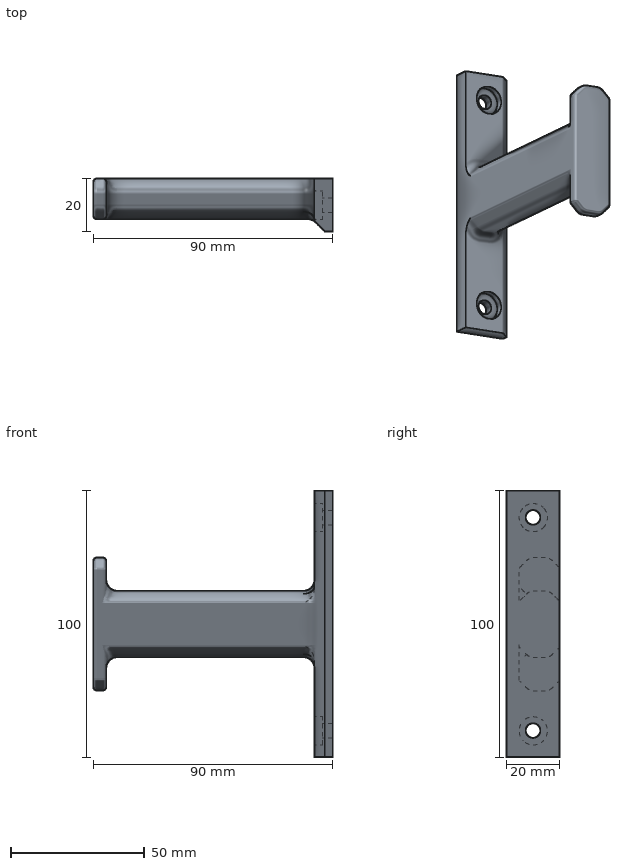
import cadquery as cq

overall_length = 90.0
plate_thickness = 7.0
plate_width = 20.0
plate_height = 100.0
plate_chamfer = 4.0

section_width = 15.38
section_bevel = 4.0
arm_height = 25.0
stop_height = 50.0
stop_thickness = 5.0

edge_radius = 1.5
bevel_radius = 4.0
joint_radius = 4.0

hole_diameter = 5.4
counterbore_diameter = 10.6
counterbore_depth = 3.0
hole_spacing = 80.0

plate_face_x = overall_length - plate_thickness
section_center_y = plate_width - section_width / 2
arm_side_half_height = arm_height / 2 - section_bevel
stop_side_half_height = stop_height / 2 - section_bevel

trim_allowance = 20.0

tolerance = 0.01


def bevelled_bar(height, start_x, end_x):
    """Bar along X with bevelled long edges, rounded where the bevels meet the top and bottom."""
    length = end_x - start_x
    bar = cq.Workplane("XY").box(length, section_width, height)
    bar = bar.edges("|X").chamfer(section_bevel)
    bar = bar.faces(">Z or <Z").edges("|X").fillet(bevel_radius)
    return bar.translate((start_x + length / 2, section_center_y, 0))


def make_wide_plate():
    """Wall plate with one bevelled long edge, softened where the bevel meets the front face."""
    plate = cq.Workplane("XY").box(
        plate_thickness, plate_width + trim_allowance, plate_height, centered=(False, False, True)
    )
    plate = plate.translate((plate_face_x, 0, 0))
    plate = plate.edges("|Z and <X and <Y").chamfer(plate_chamfer)
    return plate.faces("<X").edges("|Z and <Y").fillet(edge_radius)


def lies_at_x(edge, x):
    """True if the whole edge lies in the plane at x."""
    box = edge.BoundingBox()
    return abs(box.xmin - x) < tolerance and abs(box.xmax - x) < tolerance


def soften_outer_edges(body):
    """Round the rims of the stop and the X edges bordering the sides of arm and stop."""
    edges = []
    for edge in body.edges().vals():
        height = abs(edge.Center().z)
        on_front_rim = lies_at_x(edge, 0)
        on_rear_rim = lies_at_x(edge, stop_thickness) and height > arm_height / 2 + tolerance
        runs_along_x = edge.BoundingBox().ylen < tolerance and edge.BoundingBox().zlen < tolerance
        borders_side = (
            abs(height - arm_side_half_height) < tolerance
            or abs(height - stop_side_half_height) < tolerance
        )
        if on_front_rim or on_rear_rim or (runs_along_x and borders_side):
            edges.append(edge)
    return body.newObject(edges).fillet(edge_radius)


def round_joint(body, face_x):
    """Round the corner between the arm's bevelled top and bottom and the face at face_x."""
    edges = []
    for edge in body.edges().vals():
        box = edge.BoundingBox()
        within_arm = max(abs(box.zmin), abs(box.zmax)) < arm_height / 2 + tolerance
        if lies_at_x(edge, face_x) and within_arm and box.ylen > tolerance:
            edges.append(edge)
    return body.newObject(edges).fillet(joint_radius)


def trim_to_width(body):
    """Cut everything back to the plate's true width."""
    envelope = cq.Workplane("XY").box(
        overall_length, plate_width, plate_height, centered=(False, False, True)
    )
    return body.intersect(envelope)


def drill_screw_holes(body):
    """Counterbored holes through the plate, entered from its front face."""
    plane = cq.Plane(origin=(plate_face_x, plate_width / 2, 0), xDir=(0, 0, 1), normal=(-1, 0, 0))
    drilled = cq.Workplane(plane).pushPoints([(-hole_spacing / 2, 0), (hole_spacing / 2, 0)])
    holes = drilled.circle(hole_diameter / 2).extrude(-plate_thickness)
    counterbores = drilled.circle(counterbore_diameter / 2).extrude(-counterbore_depth)
    return body.cut(holes).cut(counterbores)


stop = bevelled_bar(stop_height, 0, stop_thickness)
arm = bevelled_bar(arm_height, stop_thickness, plate_face_x + plate_thickness / 2)
hook = soften_outer_edges(arm.union(stop))
hook = round_joint(hook, stop_thickness)
result = round_joint(make_wide_plate().union(hook), plate_face_x)
result = trim_to_width(result)
result = drill_screw_holes(result)